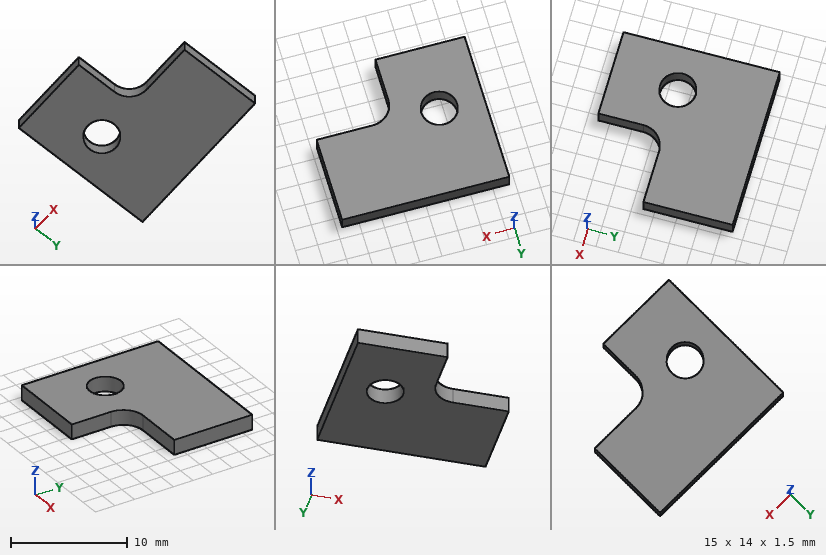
import cadquery as cq

length = 15.0
width = 14.0
thickness = 1.5
arm_width = 8.0
inner_corner_radius = 2.0
hole_diameter = 3.2

inner_corner_x = arm_width
inner_corner_y = width - arm_width

hole_x = arm_width / 2
hole_y = inner_corner_y


def make_plate():
    """L-shaped plate with a rounded inner corner."""
    outline = (
        cq.Workplane("XY")
        .lineTo(inner_corner_x, 0)
        .lineTo(inner_corner_x, inner_corner_y - inner_corner_radius)
        .radiusArc((inner_corner_x + inner_corner_radius, inner_corner_y), inner_corner_radius)
        .lineTo(length, inner_corner_y)
        .lineTo(length, width)
        .lineTo(0, width)
        .close()
    )
    return outline.extrude(thickness)


def make_hole():
    """Cylinder that cuts the through hole."""
    return cq.Workplane("XY").center(hole_x, hole_y).circle(hole_diameter / 2).extrude(thickness)


result = make_plate().cut(make_hole())